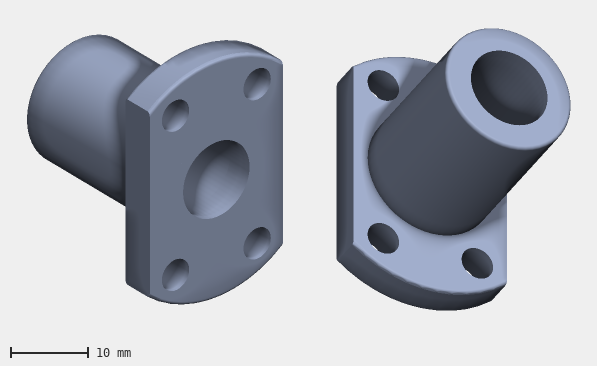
import cadquery as cq
import math

total_length = 28.0
bore_diameter = 11.0
edge_radius = 0.5

sleeve_diameter = 18.0

flange_diameter = 35.0
flange_thickness = 5.0
flange_width = 22.0
flange_start = total_length - flange_thickness

bolt_circle_diameter = 27.0
bolt_hole_diameter = 4.5
bolt_angle = 60.0

ring_diameter = 14.5
ring_length = 4.0
ring_starts = [0, total_length - ring_length]


def cylinder(diameter, start, length):
    """Solid cylinder on the X axis, from X = start."""
    return cq.Workplane("YZ", origin=(start, 0, 0)).circle(diameter / 2).extrude(length)


def make_flange():
    disc = cylinder(flange_diameter, flange_start, flange_thickness).edges().fillet(edge_radius)
    between_flats = (
        cq.Workplane("YZ", origin=(flange_start, 0, 0))
        .rect(flange_width, flange_diameter)
        .extrude(flange_thickness)
    )
    return disc.intersect(between_flats)


def make_bolt_holes():
    half_y = bolt_circle_diameter / 2 * math.cos(math.radians(bolt_angle))
    half_z = bolt_circle_diameter / 2 * math.sin(math.radians(bolt_angle))
    return (
        cq.Workplane("YZ", origin=(flange_start, 0, 0))
        .rect(2 * half_y, 2 * half_z, forConstruction=True)
        .vertices()
        .circle(bolt_hole_diameter / 2)
        .extrude(flange_thickness)
    )


def make_housing():
    sleeve = cylinder(sleeve_diameter, 0, total_length).faces("<X").edges().fillet(edge_radius)
    body = sleeve.union(make_flange()).cut(make_bolt_holes())
    body = body.cut(cylinder(bore_diameter, 0, total_length))
    for start in ring_starts:
        body = body.cut(cylinder(ring_diameter, start, ring_length))
    return body


def make_ring(start):
    return cylinder(ring_diameter, start, ring_length).cut(cylinder(bore_diameter, start, ring_length))


housing = make_housing()
end_rings = [make_ring(start) for start in ring_starts]

result = cq.Compound.makeCompound([housing.val(), *[ring.val() for ring in end_rings]])